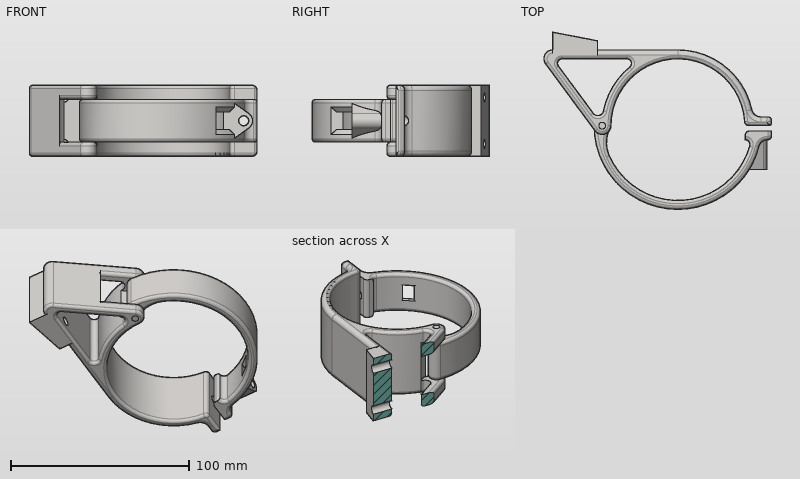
import cadquery as cq
import math


BRACKET_HEIGHT = 40.0
JAW_HEIGHT = 24.0
EDGE_ROUND = 1.8
JAW_ROUND = 1.9
OUTER_ROUND = 2.9

BRACKET_BORE_R = 37.4
WALL = 5.1
BRACKET_R = BRACKET_BORE_R + WALL
CORNER_R = 5.0
CORNER_X = -70.0
CORNER_Y = BRACKET_R - CORNER_R
WINDOW_CORNER_R = 2.5
WINDOW_NOSE_R = 3.2

PIN_D = 3.8
HINGE_X = -(BRACKET_BORE_R + CORNER_R)
FORK_OUTER_END = 19.9
FORK_INNER_END = 22.3
FORK_END_R = 12.8
FORK_DEPTH = 11.5
FORK_PAST_HINGE = 10.2
FORK_ROUND = 2.0

WEDGE_X0 = -70.2
WEDGE_X1 = -44.9
WEDGE_HIGH_Y = 52.5
WEDGE_LOW_Y = 47.6
WEDGE_ROOT_Y = BRACKET_R - OUTER_ROUND
WEDGE_HOLE_D = 5.0
WEDGE_HOLE_X = -55.6
WEDGE_HOLE_Z = 13.0

FLANGE_END_X = 52.6
FLANGE_T = 5.0
FLANGE_GAP = 2.9
FLANGE_FILLET_R = 5.1
FLANGE_TIP_R = 2.0
FLANGE_LIP_R = 1.5
FLANGE_CORNER_R = 2.4
BOLT_D = 5.5
BOLT_X = 45.0

JAW_R = 47.0
JAW_BORE_R = 41.9
KNUCKLE_R = JAW_R + HINGE_X
KNUCKLE_FILLET_R = 18.4
JAW_FLANGE_X = 37.8
JAW_INNER_FILLET_R = 2.8
JAW_TIP_R = 2.0

LUG_Y = -24.6
LUG_TIP_R = 5.0
LUG_ROOT_HALF = 9.7
SLOT_X = 29.6
SLOT_HALF = 4.8
SLOT_MOUTH_HALF = 7.8
SLOT_FLARE_R = 44.4

BIG = 76.5
CLEARANCE = 1.3
TOLERANCE = 0.1


def polar(radius, degrees, centre=(0, 0)):
    angle = math.radians(degrees)
    return (centre[0] + radius * math.cos(angle), centre[1] + radius * math.sin(angle))


def bearing(start, end):
    return math.degrees(math.atan2(end[1] - start[1], end[0] - start[0]))


def toward(start, end, distance):
    """Point at a distance from start in the direction of end."""
    return polar(distance, bearing(start, end), start)


def arc_middle(centre, radius, start, end):
    """Point halfway along the shorter arc between two points of a circle."""
    chord_middle = ((start[0] + end[0]) / 2, (start[1] + end[1]) / 2)
    return toward(centre, chord_middle, radius)


def prism(profile, height):
    return profile.extrude(height / 2, both=True)


def polygon(points, height):
    return prism(cq.Workplane("XY").polyline(points).close(), height)


def block(x0, x1, y0, y1, height):
    return polygon([(x0, y0), (x1, y0), (x1, y1), (x0, y1)], height)


def disc(radius, height, centre=(0, 0)):
    return prism(cq.Workplane("XY").center(*centre).circle(radius), height)


def bore_along_y(diameter, x, z=0):
    bore = cq.Workplane("XZ").center(x, z).circle(diameter / 2)
    return bore.extrude(BIG, both=True)


def round_top_and_bottom(solid, height, radius, keep_sharp=lambda edge: False):
    """Round the edges in the planes Z = +-height/2, except those that stay sharp."""
    flat = solid.faces("|Z").edges().vals()
    edges = [edge for edge in flat if not keep_sharp(edge)]
    return solid.newObject([solid.val().fillet(radius, edges)])


HINGE = (HINGE_X, 0)
CORNER = (CORNER_X, CORNER_Y)
ALONG = bearing(CORNER, HINGE)
OUTWARD = ALONG - 90


def back_and_arc(sketch):
    """Continue a sketch along the back, the outer arc and the flange, to the flange's end."""
    fillet_y = FLANGE_T + FLANGE_FILLET_R
    fillet = (math.sqrt((BRACKET_R + FLANGE_FILLET_R) ** 2 - fillet_y ** 2), fillet_y)
    on_ring = toward((0, 0), fillet, BRACKET_R)
    on_flange = (fillet[0], FLANGE_T)
    tip = (FLANGE_END_X - FLANGE_TIP_R, FLANGE_T - FLANGE_TIP_R)
    return (
        sketch.lineTo(0, BRACKET_R)
        .threePointArc(arc_middle((0, 0), BRACKET_R, (0, BRACKET_R), on_ring), on_ring)
        .threePointArc(arc_middle(fillet, FLANGE_FILLET_R, on_ring, on_flange), on_flange)
        .lineTo(tip[0], FLANGE_T)
        .threePointArc(polar(FLANGE_TIP_R, 45, tip), (FLANGE_END_X, tip[1]))
    )


def bracket_plate():
    """Bracket without its window, from the hinge nose round to the flange."""
    heel = (BRACKET_BORE_R + FLANGE_CORNER_R, FLANGE_CORNER_R)
    lip = (FLANGE_END_X - FLANGE_LIP_R, FLANGE_LIP_R)
    heel_end = (BRACKET_BORE_R, heel[1])
    nose_start = (-BRACKET_BORE_R, 0)
    nose_end = polar(CORNER_R, OUTWARD, HINGE)
    slant_end = polar(CORNER_R, OUTWARD, CORNER)
    back_start = (CORNER_X, BRACKET_R)
    profile = (
        back_and_arc(cq.Workplane("XY").moveTo(*back_start))
        .lineTo(FLANGE_END_X, lip[1])
        .threePointArc(polar(FLANGE_LIP_R, -45, lip), (lip[0], 0))
        .lineTo(heel[0], 0)
        .threePointArc(polar(FLANGE_CORNER_R, 225, heel), heel_end)
        .threePointArc((0, BRACKET_BORE_R), nose_start)
        .threePointArc(polar(CORNER_R, OUTWARD / 2, HINGE), nose_end)
        .lineTo(*slant_end)
        .threePointArc(arc_middle(CORNER, CORNER_R, slant_end, back_start), back_start)
        .close()
    )
    return prism(profile, BRACKET_HEIGHT)


def frame_window():
    """Triangular opening between the back wall, the slanted wall and the ring."""
    inner_offset = CORNER_R - WALL
    back_y = BRACKET_R - WALL
    near = polar(inner_offset, OUTWARD, HINGE)
    far = polar(inner_offset, OUTWARD, CORNER)
    far_on_back = toward(near, far, math.dist(near, far) * (back_y - near[1]) / (far[1] - near[1]))
    opening = polygon([near, far_on_back, (0, back_y), (0, near[1])], BRACKET_HEIGHT)
    opening = opening.cut(disc(BRACKET_R, BRACKET_HEIGHT))
    opening = opening.edges("|Z").edges("<Y").fillet(WINDOW_NOSE_R)
    return opening.edges("|Z").edges(">Y").fillet(WINDOW_CORNER_R)


def back_envelope():
    """Solid around the bracket whose upper side carries the larger outer rounding."""
    middle_x = (WEDGE_X0 + WEDGE_X1) / 2
    profile = (
        back_and_arc(cq.Workplane("XY").moveTo(middle_x, BRACKET_R))
        .lineTo(FLANGE_END_X, -BIG).lineTo(-BIG, -BIG).lineTo(-BIG, BIG).lineTo(middle_x, BIG).close()
    )

    def away_from_back(edge):
        centre = edge.Center()
        return centre.y < 0 or centre.x < WEDGE_X1

    return round_top_and_bottom(prism(profile, BRACKET_HEIGHT), BRACKET_HEIGHT, OUTER_ROUND, away_from_back)


def fork_slot():
    """Opening through the slanted wall and the hinge nose that the jaw's knuckle swings in."""
    toward_corner = polar(1, ALONG + 180)
    frame = cq.Plane(origin=(*HINGE, 0), xDir=(*toward_corner, 0), normal=(0, 0, 1))
    outer_end = (FORK_OUTER_END, CORNER_R)
    inner_end = (FORK_INNER_END, CORNER_R - WALL)
    deep = CORNER_R - FORK_DEPTH
    outside = CORNER_R + CLEARANCE
    profile = (
        cq.Workplane(frame).moveTo(-FORK_PAST_HINGE, deep)
        .lineTo(-FORK_PAST_HINGE, outside)
        .lineTo(FORK_OUTER_END, outside)
        .lineTo(*outer_end)
        .radiusArc(inner_end, FORK_END_R)
        .lineTo(FORK_INNER_END, deep)
        .close()
    )
    return prism(profile, JAW_HEIGHT)


def round_fork_mouth(body):
    """Round the slot's two long edges on the slanted face; the rounding runs on over the nose."""
    mouth_middle = polar(CORNER_R, OUTWARD, polar(FORK_OUTER_END / 2, ALONG + 180, HINGE))
    for side in (-1, 1):
        middle = (*mouth_middle, side * JAW_HEIGHT / 2)
        body = body.edges(cq.selectors.NearestToPointSelector(middle)).fillet(FORK_ROUND)
    return body


def mounting_wedge():
    return polygon(
        [
            (WEDGE_X0, WEDGE_ROOT_Y), (WEDGE_X1, WEDGE_ROOT_Y),
            (WEDGE_X1, WEDGE_LOW_Y), (WEDGE_X0, WEDGE_HIGH_Y),
        ],
        BRACKET_HEIGHT,
    )


def wedge_holes():
    """Two screw holes from the window through the back wall and the wedge."""
    behind_window = block(WEDGE_X0, WEDGE_X1, BRACKET_R - WALL - CLEARANCE, BIG, BRACKET_HEIGHT)
    upper = bore_along_y(WEDGE_HOLE_D, WEDGE_HOLE_X, WEDGE_HOLE_Z)
    lower = bore_along_y(WEDGE_HOLE_D, WEDGE_HOLE_X, -WEDGE_HOLE_Z)
    return upper.add(lower).combine().intersect(behind_window)


def make_bracket():
    body = bracket_plate().cut(frame_window())
    body = round_top_and_bottom(body, BRACKET_HEIGHT, EDGE_ROUND)
    body = body.intersect(back_envelope())
    body = round_fork_mouth(body.cut(fork_slot()))
    body = body.union(mounting_wedge())
    body = body.cut(wedge_holes())
    body = body.cut(bore_along_y(BOLT_D, BOLT_X))
    return body.cut(disc(PIN_D / 2, BRACKET_HEIGHT, HINGE))


def jaw_plate():
    """Lower half ring with its knuckle and flange."""
    under_y = -FLANGE_GAP - FLANGE_T
    outer_y = under_y - FLANGE_FILLET_R
    outer = (math.sqrt((JAW_R + FLANGE_FILLET_R) ** 2 - outer_y ** 2), outer_y)
    outer_ring = toward((0, 0), outer, JAW_R)
    outer_flange = (outer[0], under_y)
    inner_y = under_y - JAW_INNER_FILLET_R
    inner = (math.sqrt((JAW_BORE_R - JAW_INNER_FILLET_R) ** 2 - inner_y ** 2), inner_y)
    inner_ring = toward((0, 0), inner, JAW_BORE_R)
    inner_rise = math.sqrt(JAW_INNER_FILLET_R ** 2 - (JAW_FLANGE_X - inner[0]) ** 2)
    inner_flange = (JAW_FLANGE_X, inner[1] + inner_rise)
    shoulder = (JAW_FLANGE_X + FLANGE_CORNER_R, -FLANGE_GAP - FLANGE_CORNER_R)
    tip = (FLANGE_END_X - JAW_TIP_R, under_y + JAW_TIP_R)

    blend_reach = JAW_BORE_R - KNUCKLE_FILLET_R
    knuckle_reach = KNUCKLE_R + KNUCKLE_FILLET_R
    cosine = (blend_reach ** 2 + HINGE_X ** 2 - knuckle_reach ** 2) / (2 * blend_reach * -HINGE_X)
    blend = polar(blend_reach, 180 + math.degrees(math.acos(cosine)))
    on_bore = toward((0, 0), blend, JAW_BORE_R)
    on_knuckle = toward(HINGE, blend, KNUCKLE_R)

    profile = (
        cq.Workplane("XY").moveTo(-JAW_R, 0)
        .threePointArc((0, -JAW_R), outer_ring)
        .threePointArc(arc_middle(outer, FLANGE_FILLET_R, outer_ring, outer_flange), outer_flange)
        .lineTo(tip[0], under_y)
        .threePointArc(polar(JAW_TIP_R, -45, tip), (FLANGE_END_X, tip[1]))
        .lineTo(FLANGE_END_X, -FLANGE_GAP)
        .lineTo(shoulder[0], -FLANGE_GAP)
        .threePointArc(polar(FLANGE_CORNER_R, 135, shoulder), (JAW_FLANGE_X, shoulder[1]))
        .lineTo(*inner_flange)
        .threePointArc(arc_middle(inner, JAW_INNER_FILLET_R, inner_flange, inner_ring), inner_ring)
        .threePointArc((0, -JAW_BORE_R), on_bore)
        .threePointArc(arc_middle(blend, KNUCKLE_FILLET_R, on_bore, on_knuckle), on_knuckle)
        .threePointArc(polar(KNUCKLE_R, 90, HINGE), (-JAW_R, 0))
        .close()
    )

    def on_clamping_face(edge):
        centre = edge.Center()
        above_fillets = centre.y > under_y + TOLERANCE
        return centre.x > 0 and above_fillets and centre.x < FLANGE_END_X - JAW_TIP_R

    return round_top_and_bottom(prism(profile, JAW_HEIGHT), JAW_HEIGHT, JAW_ROUND, on_clamping_face)


def bolt_lug():
    """Boss beside the ring: a wide root on the ring, tapering tangentially to a round tip."""
    root_x = math.sqrt(JAW_R ** 2 - LUG_Y ** 2)
    root = (root_x, LUG_ROOT_HALF)
    reach = math.dist(root, (BOLT_X, 0))
    touch_angle = bearing((BOLT_X, 0), root) - math.degrees(math.acos(LUG_TIP_R / reach))
    touch = polar(LUG_TIP_R, touch_angle, (BOLT_X, 0))
    profile = (
        cq.Workplane("XZ", origin=(0, LUG_Y, 0)).moveTo(*root).lineTo(*touch)
        .threePointArc((BOLT_X + LUG_TIP_R, 0), (touch[0], -touch[1]))
        .lineTo(root[0], -root[1])
        .close()
    )
    lug = profile.extrude(LUG_Y + FLANGE_GAP + FLANGE_T / 2)
    return lug.cut(disc((JAW_R + JAW_BORE_R) / 2, BIG))


def driver_slot():
    """Slot through the ring in line with the bolt, flared where it leaves the outer surface."""
    flare = (SLOT_MOUTH_HALF - SLOT_HALF) / (JAW_R - SLOT_FLARE_R)
    outside_r = JAW_R + CLEARANCE
    outside_half = SLOT_MOUTH_HALF + flare * CLEARANCE
    inside_r = JAW_BORE_R - WALL
    profile = cq.Workplane("XZ").polyline([
        (inside_r, -SLOT_HALF), (SLOT_FLARE_R, -SLOT_HALF), (outside_r, -outside_half),
        (outside_r, outside_half), (SLOT_FLARE_R, SLOT_HALF), (inside_r, SLOT_HALF),
    ]).close()
    return profile.revolve(360, (0, 0, 0), (0, 1, 0)).intersect(block(SLOT_X, BIG, -BIG, LUG_Y, BIG))


def make_jaw():
    body = jaw_plate().union(bolt_lug()).cut(driver_slot())
    body = body.cut(bore_along_y(BOLT_D, BOLT_X))
    return body.cut(disc(PIN_D / 2, JAW_HEIGHT, HINGE))


def make_pin():
    return disc(PIN_D / 2, BRACKET_HEIGHT, HINGE)


bracket = make_bracket()
jaw = make_jaw()
pin = make_pin()
result = cq.Compound.makeCompound([bracket.solids().val(), jaw.solids().val(), pin.solids().val()])